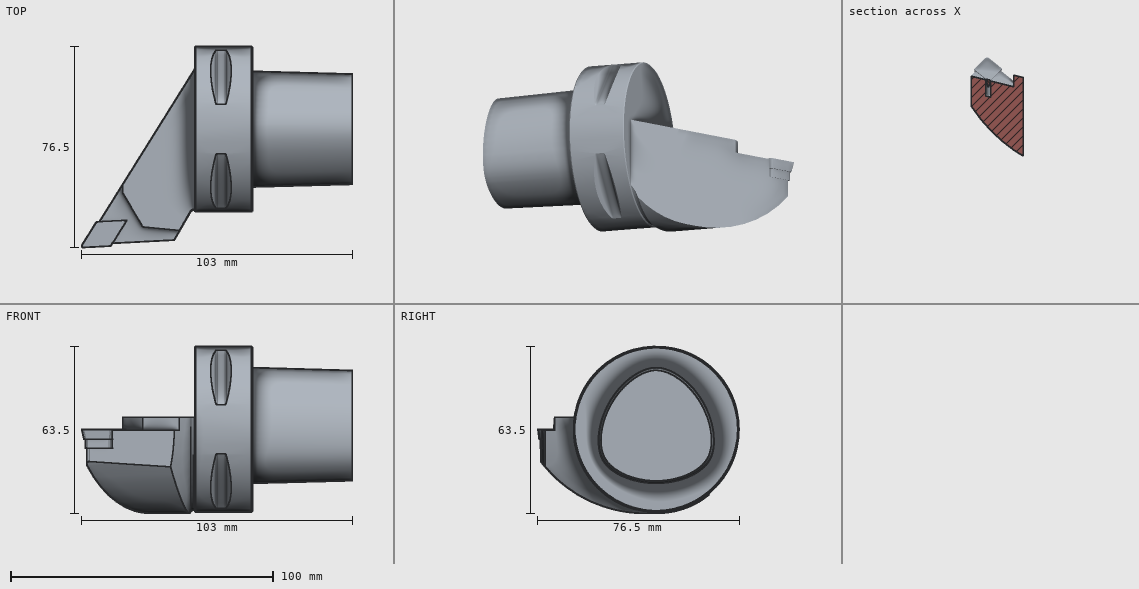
import cadquery as cq
import math


flange_radius = 31.5
flange_length = 22.0
front_chamfer = 0.3
rear_chamfer = 0.5

groove_x = 10.0
groove_floor_distance = 27.9
groove_floor_width = 3.7
groove_wall_angle = 30.0
groove_floor_fillet = 0.7
groove_count = 4
groove_cutter_height = 10.3
groove_cutter_length = 41.2

shank_length = 37.9
shank_radius_front = 22.0
shank_radius_rear = 21.0
lobe_height_front = 1.4
lobe_height_rear = 1.39
lobe_count = 3
shank_outline_points = 36

neck_radius = 30.9
neck_length = 1.2
neck_fillet = 1.0
cone_angle = 60.0
head_top_z = 4.6
ledge_z = -0.3
flank_angle = 58.0
edge_angle = 3.0
flank_start_y = 22.9
edge_end_x = -7.7
edge_end_y = -42.2
head_corner_radius = 0.8
belly_radius = 32.0
belly_flat = 4.1
belly_outer_radius = 50.0
head_reach = 61.8

step_corner_x = -27.4
step_corner_y = -24.2
step_inner_x = -19.8
step_inner_y = -37.2
step_end_x = -5.9
step_end_y = -38.5

insert_tip_x = -43.6
insert_tip_y = -45.1
insert_side = 11.6
insert_corner_radius = 0.6
insert_thickness = 3.8
insert_clearance_angle = 7.0
pocket_floor_z = -7.2
shim_inset = 0.77

flank_slope = math.tan(math.radians(flank_angle))
edge_slope = math.tan(math.radians(edge_angle))


def make_flange():
    flange = cq.Workplane("YZ").circle(flange_radius).extrude(flange_length)
    flange = flange.faces("<X").chamfer(front_chamfer)
    flange = flange.faces(">X").chamfer(rear_chamfer)
    half_floor = groove_floor_width / 2
    half_top = half_floor + groove_cutter_height * math.tan(math.radians(groove_wall_angle))
    groove_top = groove_floor_distance + groove_cutter_height
    cutter = (
        cq.Workplane("XZ")
        .polyline([
            (groove_x - half_floor, groove_floor_distance),
            (groove_x + half_floor, groove_floor_distance),
            (groove_x + half_top, groove_top),
            (groove_x - half_top, groove_top),
        ])
        .close()
        .extrude(groove_cutter_length / 2, both=True)
        .faces("<Z")
        .edges("|Y")
        .fillet(groove_floor_fillet)
    )
    spacing = 360 / groove_count
    for index in range(groove_count):
        angle = spacing * (index + 0.5)
        flange = flange.cut(cutter.rotate((0, 0, 0), (1, 0, 0), angle))
    return flange


def lobed_outline(radius, lobe_height):
    """Points of a three-lobed curve, one lobe towards +Z, from its distance to its tangents."""
    points = []
    for index in range(shank_outline_points):
        angle = 2 * math.pi * index / shank_outline_points
        phase = lobe_count * (angle - math.pi / 2)
        reach = radius + lobe_height * math.cos(phase)
        slide = -lobe_height * lobe_count * math.sin(phase)
        y = reach * math.cos(angle) - slide * math.sin(angle)
        z = reach * math.sin(angle) + slide * math.cos(angle)
        points.append((y, z))
    return points


def make_shank():
    return (
        cq.Workplane("YZ", origin=(flange_length, 0, 0))
        .spline(lobed_outline(shank_radius_front, lobe_height_front), periodic=True)
        .close()
        .workplane(offset=shank_length)
        .spline(lobed_outline(shank_radius_rear, lobe_height_rear), periodic=True)
        .close()
        .loft(ruled=True)
    )


def make_head_plan():
    """Vertical prism between the flank and the cutting side, with a rounded cutting corner."""
    edge_y_at_flange = edge_end_y - edge_end_x * edge_slope
    corner_x = (edge_y_at_flange - flank_start_y) / (flank_slope - edge_slope)
    corner_y = flank_start_y + flank_slope * corner_x
    return (
        cq.Workplane("XY", origin=(0, 0, -head_reach))
        .polyline([(0, flank_start_y), (corner_x, corner_y), (0, edge_y_at_flange)])
        .close()
        .extrude(head_reach + head_top_z)
        .edges("|Z and <X")
        .fillet(head_corner_radius)
    )


def make_head_flare():
    """Round stock: a short neck that opens through a fillet into a cone."""
    angle = math.radians(cone_angle)
    tangent = neck_fillet * math.tan(angle / 2)
    arc_start = (tangent - neck_length, neck_radius)
    arc_middle = (
        arc_start[0] - neck_fillet * math.sin(angle / 2),
        neck_radius + neck_fillet * (1 - math.cos(angle / 2)),
    )
    arc_end = (
        arc_start[0] - neck_fillet * math.sin(angle),
        neck_radius + neck_fillet * (1 - math.cos(angle)),
    )
    cone_end = (-head_reach, arc_end[1] + (head_reach + arc_end[0]) * math.tan(angle))
    return (
        cq.Workplane("XY")
        .moveTo(0, 0)
        .lineTo(0, neck_radius)
        .lineTo(*arc_start)
        .threePointArc(arc_middle, arc_end)
        .lineTo(*cone_end)
        .lineTo(-head_reach, 0)
        .close()
        .revolve(360, (0, 0, 0), (1, 0, 0))
    )


def make_head_belly():
    """Section across X: the rounded underside of the head, closed above the head top."""
    half = math.sqrt(0.5)
    arc_center_z = belly_outer_radius - belly_radius
    return (
        cq.Workplane("YZ", origin=(-head_reach, 0, 0))
        .moveTo(belly_radius, head_top_z)
        .lineTo(belly_radius, 0)
        .threePointArc((belly_radius * half, -belly_radius * half), (0, -belly_radius))
        .lineTo(-belly_flat, -belly_radius)
        .threePointArc(
            (-belly_flat - belly_outer_radius * half, arc_center_z - belly_outer_radius * half),
            (-belly_flat - belly_outer_radius, arc_center_z),
        )
        .lineTo(-belly_flat - belly_outer_radius, head_top_z)
        .close()
        .extrude(head_reach)
    )


def make_ledge_cutter():
    return (
        cq.Workplane("XY", origin=(0, 0, ledge_z))
        .polyline([
            (step_corner_x, 0),
            (step_corner_x, step_corner_y),
            (step_inner_x, step_inner_y),
            (step_end_x, step_end_y),
            (step_end_x, -head_reach),
            (-head_reach, -head_reach),
            (-head_reach, 0),
        ])
        .close()
        .extrude(head_top_z - ledge_z)
    )


def insert_rhombus(z, inset=0.0):
    """Rhombus of the insert at height z, with every side moved in by the inset."""
    flank = math.radians(flank_angle)
    edge = math.radians(edge_angle)
    corner_angle = flank - edge
    side = insert_side - 2 * inset / math.sin(corner_angle)
    bisector = (flank + edge) / 2
    tip_shift = inset / math.sin(corner_angle / 2)
    tip = cq.Vector(
        insert_tip_x + tip_shift * math.cos(bisector),
        insert_tip_y + tip_shift * math.sin(bisector),
        z,
    )
    along_edge = cq.Vector(math.cos(edge), math.sin(edge)) * side
    along_flank = cq.Vector(math.cos(flank), math.sin(flank)) * side
    corners = [tip, tip + along_edge, tip + along_edge + along_flank, tip + along_flank]
    return cq.Wire.makePolygon(corners, close=True)


def rounded_rhombus(z, inset, radius):
    wire = insert_rhombus(z, inset)
    return wire.fillet2D(radius, wire.Vertices())


def make_holder():
    head = make_head_plan().intersect(make_head_flare()).intersect(make_head_belly())
    head = head.cut(make_ledge_cutter())
    pocket = cq.Workplane("XY").add(insert_rhombus(pocket_floor_z)).toPending()
    pocket = pocket.extrude(-pocket_floor_z)
    shim = cq.Workplane("XY").add(rounded_rhombus(pocket_floor_z, shim_inset, insert_corner_radius))
    shim = shim.toPending().extrude(-pocket_floor_z - insert_thickness)
    head = head.cut(pocket).union(shim)
    return make_flange().union(make_shank()).union(head)


def make_insert():
    """Cutting insert: top at the axis height, sides leaning in towards the shim below."""
    base_inset = insert_thickness * math.tan(math.radians(insert_clearance_angle))
    top = rounded_rhombus(0, 0, insert_corner_radius)
    base = rounded_rhombus(-insert_thickness, base_inset, insert_corner_radius)
    return cq.Workplane("XY").add(cq.Solid.makeLoft([base, top], True))


holder = make_holder()
insert = make_insert()
result = cq.Compound.makeCompound([holder.val(), insert.val()])